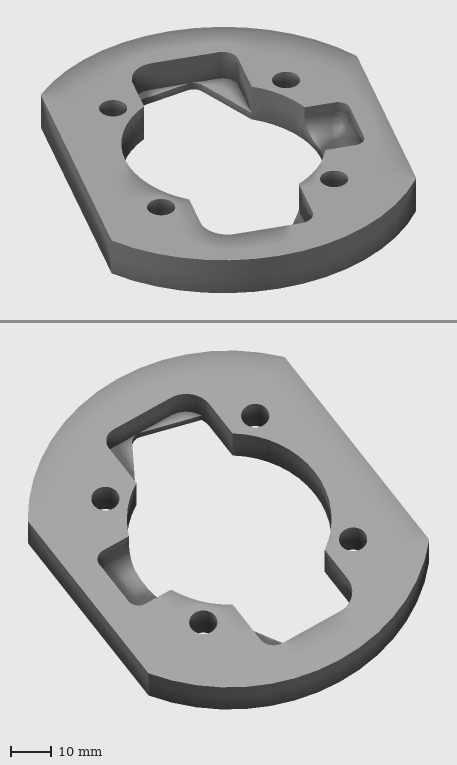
import cadquery as cq
import math

plate_radius = 50
plate_thickness = 10
back_flat_y = 42
front_flat_y = -38

bore_radius = 25.4
hole_diameter = 7
hole_x = 22
hole_y = 22.3

floor_thickness = 2
pocket_half_width = 38
pocket_back_y = 13.3
pocket_front_y = -14.7
pocket_back_radius = 4
pocket_front_radius = 7

back_taper_angle = 30
side_taper_angle = 15
opening_tip_x = 38.5
opening_tip_radius = 3

notch_width = 19
notch_back_y = 34.3
notch_corner_radius = 3
notch_floor_radius = 5


def make_plate():
    disc = cq.Workplane("XY").circle(plate_radius).extrude(plate_thickness)
    flats = (
        cq.Workplane("XY")
        .center(0, (back_flat_y + front_flat_y) / 2)
        .rect(2 * plate_radius, back_flat_y - front_flat_y)
        .extrude(plate_thickness)
    )
    return disc.intersect(flats)


def make_pocket():
    pocket = (
        cq.Workplane("XY", origin=(0, 0, floor_thickness))
        .center(0, (pocket_back_y + pocket_front_y) / 2)
        .rect(2 * pocket_half_width, pocket_back_y - pocket_front_y)
        .extrude(plate_thickness - floor_thickness)
    )
    pocket = pocket.edges("|Z and >Y").fillet(pocket_back_radius)
    return pocket.edges("|Z and <Y").fillet(pocket_front_radius)


def make_floor_opening():
    back_x = math.sqrt(bore_radius**2 - pocket_back_y**2)
    tip_drop = (opening_tip_x - back_x) * math.tan(math.radians(back_taper_angle))
    tip_y = pocket_back_y - tip_drop
    side_run = (tip_y - pocket_front_y) * math.tan(math.radians(side_taper_angle))
    front_x = opening_tip_x - side_run
    opening = (
        cq.Workplane("XY")
        .polyline([
            (-back_x, pocket_back_y),
            (-opening_tip_x, tip_y),
            (-front_x, pocket_front_y),
            (front_x, pocket_front_y),
            (opening_tip_x, tip_y),
            (back_x, pocket_back_y),
        ])
        .close()
        .extrude(floor_thickness)
    )
    opening = opening.edges("|Z and (<X or >X)").fillet(opening_tip_radius)
    outline = make_pocket().translate((0, 0, -floor_thickness))
    return opening.intersect(outline)


def make_notch():
    notch = (
        cq.Workplane("XY", origin=(0, 0, floor_thickness))
        .center(0, notch_back_y / 2)
        .rect(notch_width, notch_back_y)
        .extrude(plate_thickness - floor_thickness)
    )
    notch = notch.edges("|Z and >Y").fillet(notch_corner_radius)
    return notch.faces("<Z").edges("not <Y").fillet(notch_floor_radius)


bore = cq.Workplane("XY").circle(bore_radius).extrude(plate_thickness)
screw_holes = (
    cq.Workplane("XY")
    .rect(2 * hole_x, 2 * hole_y, forConstruction=True)
    .vertices()
    .circle(hole_diameter / 2)
    .extrude(plate_thickness)
)

result = make_plate()
for cutter in (bore, screw_holes, make_pocket(), make_floor_opening(), make_notch()):
    result = result.cut(cutter)